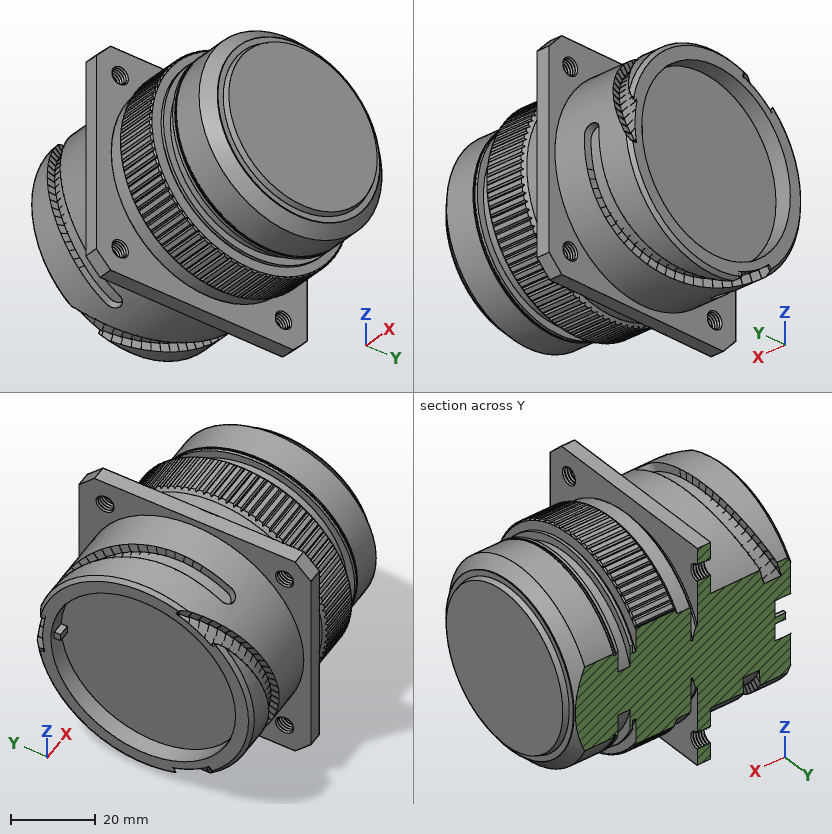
import cadquery as cq
import math

OVERALL_LENGTH = 66.65

SHELL_RADIUS = 29.8
SHELL_CHAMFER = 1.0
CAVITY_RADIUS = 25.25
CAVITY_DEPTH = 4.7

KEY_WIDTH = 2.0
KEY_HEIGHT = 1.75
KEY_SETBACK = 1.5
KEY_ROOT = 0.5

SLOT_COUNT = 3
SLOT_WIDTH = 4.8
SLOT_FLOOR_RADIUS = 27.5
SLOT_END_X = 12.05
SLOT_END_ANGLE = 241.8
SLOT_LEVEL_SWEEP = 18.5
SLOT_RISE = 0.00113
SLOT_STEP = 4.7
SLOT_FACETS = 30
SLOT_CUT_HEIGHT = 5.0

FLANGE_SIZE = 63.5
FLANGE_FRONT = 24.1
FLANGE_THICKNESS = 4.0
FLANGE_BACK = FLANGE_FRONT + FLANGE_THICKNESS
FLANGE_CORNER = 4.3
HOLE_SPACING = 49.1
HOLE_DIAMETER = 4.2
THREAD_DIAMETER = 4.9
THREAD_PITCH = 0.8

NECK_RADIUS = 26.2
NECK_LENGTH = 0.5
RELIEF_RADIUS = 25.2
RELIEF_TAPER_LENGTH = 0.9
RING_FRONT = 29.9
RING_RADIUS = 29.0
RING_CHAMFER = 0.4

KNURL_FRONT = 34.1
KNURL_BACK = 46.6
KNURL_RADIUS = 30.0
KNURL_FRONT_CHAMFER = 1.0
KNURL_BACK_CHAMFER = 0.4
KNURL_COUNT = 90
KNURL_DEPTH = 0.45
KNURL_PHASE = 2.7

COLLAR_RADIUS = 26.5
BODY_RADIUS = 27.5
RIB_FRONT = 47.4
GROOVE_FRONT = 48.3
GROOVE_BACK = 51.8
GROOVE_RADIUS = 25.4
STEP_FRONT = 52.6
STEP_BACK = 53.2
STEP_RADIUS = 27.2
CONE_FRONT = 61.9
CONE_BACK = 64.9
CONE_END_RADIUS = 24.4
TAIL_ROOT_RADIUS = 22.8
TAIL_END_RADIUS = 22.3
TAIL_FRONT = 65.15


def make_turned_body():
    """Revolve the whole outer profile, cavity included, about X."""
    profile = [
        (CAVITY_DEPTH, 0),
        (CAVITY_DEPTH, CAVITY_RADIUS),
        (0, CAVITY_RADIUS),
        (0, SHELL_RADIUS - SHELL_CHAMFER),
        (SHELL_CHAMFER, SHELL_RADIUS),
        (FLANGE_FRONT, SHELL_RADIUS),
        (FLANGE_BACK, SHELL_RADIUS),
        (FLANGE_BACK, NECK_RADIUS),
        (FLANGE_BACK + NECK_LENGTH, NECK_RADIUS),
        (FLANGE_BACK + NECK_LENGTH + RELIEF_TAPER_LENGTH, RELIEF_RADIUS),
        (RING_FRONT, RELIEF_RADIUS),
        (RING_FRONT, RING_RADIUS - RING_CHAMFER),
        (RING_FRONT + RING_CHAMFER, RING_RADIUS),
        (KNURL_FRONT, RING_RADIUS),
        (KNURL_FRONT + KNURL_FRONT_CHAMFER, KNURL_RADIUS),
        (KNURL_BACK - KNURL_BACK_CHAMFER, KNURL_RADIUS),
        (KNURL_BACK, KNURL_RADIUS - KNURL_BACK_CHAMFER),
        (KNURL_BACK, COLLAR_RADIUS),
        (RIB_FRONT, COLLAR_RADIUS),
        (RIB_FRONT, BODY_RADIUS),
        (GROOVE_FRONT, BODY_RADIUS),
        (GROOVE_FRONT, GROOVE_RADIUS),
        (GROOVE_BACK, GROOVE_RADIUS),
        (GROOVE_BACK, BODY_RADIUS),
        (STEP_FRONT, BODY_RADIUS),
        (STEP_FRONT, STEP_RADIUS),
        (STEP_BACK, STEP_RADIUS),
        (STEP_BACK, BODY_RADIUS),
        (CONE_FRONT, BODY_RADIUS),
        (CONE_BACK, CONE_END_RADIUS),
        (TAIL_FRONT, CONE_END_RADIUS),
        (TAIL_FRONT, TAIL_ROOT_RADIUS),
        (OVERALL_LENGTH, TAIL_END_RADIUS),
        (OVERALL_LENGTH, 0),
    ]
    points = [(x, -radius) for x, radius in profile]
    return cq.Workplane("XY").polyline(points).close().revolve(360, (0, 0, 0), (1, 0, 0))


def make_flange():
    """Square plate with chamfered corners."""
    return (
        cq.Workplane("YZ", origin=(FLANGE_FRONT, 0, 0))
        .rect(FLANGE_SIZE, FLANGE_SIZE)
        .extrude(FLANGE_THICKNESS)
        .edges("|X")
        .chamfer(FLANGE_CORNER)
    )


def make_hole_cutter():
    """Tapped hole through the flange, its thread simplified to V grooves one pitch apart."""
    minor = HOLE_DIAMETER / 2
    major = THREAD_DIAMETER / 2
    points = [(FLANGE_FRONT, 0), (FLANGE_FRONT, major)]
    for turn in range(round(FLANGE_THICKNESS / THREAD_PITCH)):
        start = FLANGE_FRONT + turn * THREAD_PITCH
        points.append((start + THREAD_PITCH / 2, minor))
        points.append((start + THREAD_PITCH, major))
    points.append((FLANGE_BACK, 0))
    return cq.Workplane("XY").polyline(points).close().revolve(360, (0, 0, 0), (1, 0, 0))


def make_key():
    """Rectangular key on the +Y wall of the cavity, standing on its floor."""
    length = CAVITY_DEPTH - KEY_SETBACK + KEY_ROOT
    height = KEY_HEIGHT + KEY_ROOT
    return cq.Workplane("XY").box(length, height, KEY_WIDTH, centered=(False, False, True)).translate(
        (KEY_SETBACK, CAVITY_RADIUS - KEY_HEIGHT, 0)
    )


def slot_centre_x(sweep):
    """Axial position of the slot centreline, `sweep` degrees from the closed end."""
    rise_sweep = max(0, sweep - SLOT_LEVEL_SWEEP)
    return SLOT_END_X - SLOT_RISE * rise_sweep**2


def slot_slope(sweep):
    """Slope of the centreline, in mm of X per mm along the floor."""
    rise_sweep = max(0, sweep - SLOT_LEVEL_SWEEP)
    floor_mm_per_degree = math.radians(SLOT_FLOOR_RADIUS)
    return -2 * SLOT_RISE * rise_sweep / floor_mm_per_degree


def slot_edge_points(sweep, along):
    """The two slot edges at one station; `along` is its distance along the facet."""
    tilt = math.atan(slot_slope(sweep))
    shift_x = SLOT_WIDTH / 2 * math.cos(tilt)
    shift_along = SLOT_WIDTH / 2 * math.sin(tilt)
    centre_x = slot_centre_x(sweep)
    return (
        (centre_x - shift_x, along + shift_along),
        (centre_x + shift_x, along - shift_along),
    )


def make_slot_facets():
    """One slot as a list of flat-floored facets; the first one has the round closed end."""
    floor = cq.Workplane("XY", origin=(0, 0, SLOT_FLOOR_RADIUS))
    top_radius = SLOT_FLOOR_RADIUS + SLOT_CUT_HEIGHT
    half_facet = top_radius * math.tan(math.radians(SLOT_STEP / 2))
    facets = []
    for index in range(SLOT_FACETS):
        sweep = index * SLOT_STEP
        near_left, near_right = slot_edge_points(sweep - SLOT_STEP / 2, -half_facet)
        far_left, far_right = slot_edge_points(sweep + SLOT_STEP / 2, half_facet)
        if index == 0:
            near_left, near_right = slot_edge_points(sweep, 0)
        outline = floor.moveTo(*near_right).lineTo(*far_right).lineTo(*far_left).lineTo(*near_left)
        if index == 0:
            outline = outline.threePointArc((SLOT_END_X, -SLOT_WIDTH / 2), near_right)
        facet = outline.close().extrude(SLOT_CUT_HEIGHT)
        facets.append(facet.val().rotate((0, 0, 0), (1, 0, 0), -sweep))
    return facets


def make_knurl_groove():
    """Right-angled V groove along the nut, at the top of its rim."""
    overshoot = 1.0
    half_width = KNURL_DEPTH + overshoot
    root = KNURL_RADIUS - KNURL_DEPTH
    return (
        cq.Workplane("YZ", origin=(KNURL_FRONT, 0, 0))
        .polyline([(0, root), (half_width, root + half_width), (-half_width, root + half_width)])
        .close()
        .extrude(KNURL_BACK - KNURL_FRONT)
    )


def turn_from_top(shape, clock_angle):
    """Turn a shape built at the +Z side about X to the given clock angle."""
    return shape.rotate((0, 0, 0), (1, 0, 0), clock_angle - 90)


body = make_turned_body().union(make_flange()).union(make_key())

cutters = []

hole_cutter = make_hole_cutter().val()
for side_y in (-1, 1):
    for side_z in (-1, 1):
        hole_centre = cq.Vector(0, side_y * HOLE_SPACING / 2, side_z * HOLE_SPACING / 2)
        cutters.append(hole_cutter.translate(hole_centre))

slot_facets = make_slot_facets()
for slot in range(SLOT_COUNT):
    slot_angle = SLOT_END_ANGLE + slot * 360 / SLOT_COUNT
    for facet in slot_facets:
        cutters.append(turn_from_top(facet, slot_angle))

groove = make_knurl_groove().val()
for index in range(KNURL_COUNT):
    groove_angle = KNURL_PHASE + index * 360 / KNURL_COUNT
    cutters.append(turn_from_top(groove, groove_angle))

result = cq.Workplane(body.val().cut(*cutters))